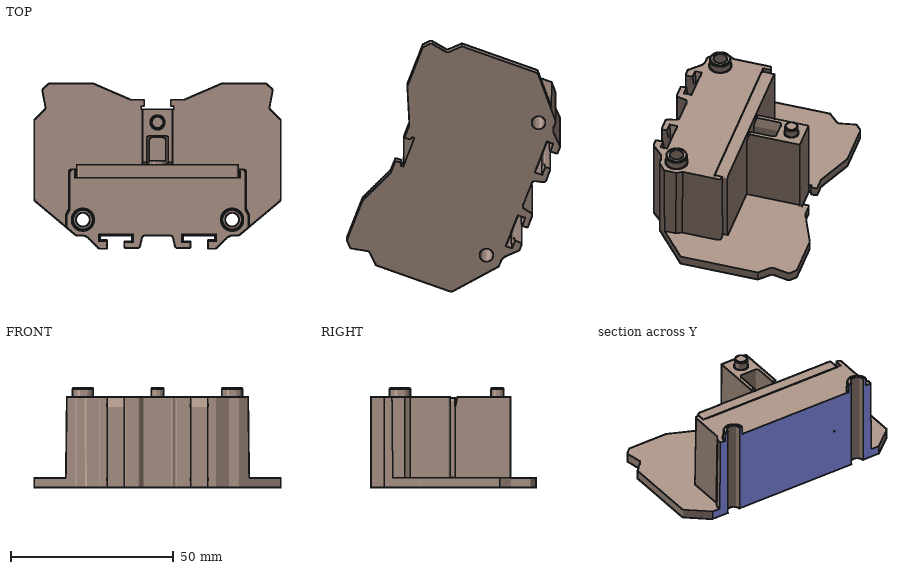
import math

import cadquery as cq

plate_thickness = 3.0
block_top = 28.0
pin_top = 30.8
plate_half_width = 38.0
plate_depth = 51.0

web_front = 4.1
outer_hook_front = 0.0
inner_hook_front = 0.2

slot_head_inner = 7.95
slot_head_outer = 17.65
slot_head_rear = 4.0
slot_gap_inner = 10.25
slot_gap_outer = 15.5
inner_lip = 2.4
outer_lip = 2.75
slot_flare = 0.5
lip_flare = 0.4
upper_flare_height = 3.1
lower_flare_height = plate_thickness

notch_floor = 43.1
notch_half_width = 4.05
undercut_half_width = 4.95
undercut_rear = 43.95
notch_shoulder = 46.0

bay_floor_x = 4.6
bay_mouth_x = 5.5
bay_round = 1.0
hook_round = 0.5
lip_round = 0.3
hook_outer_x = 18.0
hook_heel_round = 0.8
hook_root_x = 22.1
hook_root_round = 2.9
web_outer_x = 25.1
wing_front = 14.9
wing_rear = 39.8
wing_round = 1.0
waist_x = 34.5
waist_y = 43.3
waist_round = 0.7
ear_x = 35.6
ear_y = 49.1
ear_round = 0.75
ear_outer_x = 33.5
ear_inner_x = 19.75
shoulder_x = 8.2
edge_round = 0.5
notch_round = 0.4

side_draft = 0.4
bump_draft = 0.3
block_half_width = 27.4
bump_half_width = 28.3
bump_start = 12.2
bump_end = 10.4
block_rear = 24.5
block_corner_radius = 0.9
wall_overrun = 1.0

recess_front = 22.0
recess_half_width = 25.55
recess_draft = 0.5
strip_half_width = 24.95
strip_rear = 26.0
strip_top = 27.7
strip_radius = 1.0

arm_half_width = 4.75
arm_draft = 0.2
arm_end_chamfer = 0.65
pocket_radius = 0.9
pocket_floor_half_width = 2.5
pocket_floor_rear = 34.35
pocket_throat_half_width = 2.75
pocket_mouth_half_width = 3.35
pocket_mouth_rear = 34.9
stud_radius = 2.6
stud_length = 1.2
stud_edge = 0.3

pin_y = 39.0
pin_radius = 2.0
bush_x = 23.0
bush_y = 9.0
bush_radius = 3.25
bush_bore_radius = 2.1
rim_height = 0.5
rim_width = 0.25
clearance = 0.25
clearance_depth = 0.1


def rounded_outline(corners, plane_z=0.0):
    """Closed XY outline from (x, y, radius) corners; radius 0 keeps the corner sharp."""
    stretches = []
    count = len(corners)
    for i, (x, y, radius) in enumerate(corners):
        corner = cq.Vector(x, y)
        if radius == 0:
            stretches.append((corner,))
            continue
        before = (cq.Vector(*corners[i - 1][:2]) - corner).normalized()
        after = (cq.Vector(*corners[(i + 1) % count][:2]) - corner).normalized()
        half_angle = before.getAngle(after) / 2
        tangent_length = radius / math.tan(half_angle)
        arc_distance = radius / math.sin(half_angle) - radius
        bisector = (before + after).normalized()
        stretches.append((
            corner + before * tangent_length,
            corner + bisector * arc_distance,
            corner + after * tangent_length,
        ))
    outline = cq.Workplane("XY", origin=(0, 0, plane_z)).moveTo(*stretches[0][-1].toTuple()[:2])
    for stretch in stretches[1:] + stretches[:1]:
        outline = outline.lineTo(*stretch[0].toTuple()[:2])
        if len(stretch) > 1:
            outline = outline.threePointArc(stretch[1].toTuple()[:2], stretch[2].toTuple()[:2])
    return outline.close()


def mirrored(half_corners):
    """Complete a right-hand half outline with its reflection in X = 0."""
    return half_corners + [(-x, y, r) for x, y, r in reversed(half_corners)]


def tapered_prism(lower, upper, z_lower, z_upper):
    """Solid with straight sides between two XY polygons of equal point count."""
    return (
        cq.Workplane("XY", origin=(0, 0, z_lower))
        .polyline(lower)
        .close()
        .workplane(offset=z_upper - z_lower)
        .polyline(upper)
        .close()
        .loft(ruled=True, combine=True)
    )


def plate_outline():
    """Corners of the whole plate, mirrored from its right half (front face round to rear notch)."""
    return mirrored([
        (bay_floor_x, web_front, bay_round),
        (bay_mouth_x, inner_hook_front, bay_round),
        (slot_gap_inner, inner_hook_front, hook_round),
        (slot_gap_inner, inner_lip, lip_round),
        (slot_head_inner, inner_lip, 0),
        (slot_head_inner, slot_head_rear, 0),
        (slot_head_outer, slot_head_rear, 0),
        (slot_head_outer, outer_lip, 0),
        (slot_gap_outer, outer_lip, lip_round),
        (slot_gap_outer, outer_hook_front, hook_round),
        (hook_outer_x, outer_hook_front, hook_heel_round),
        (hook_root_x, web_front, hook_root_round),
        (web_outer_x, web_front, wing_round),
        (plate_half_width, wing_front, wing_round),
        (plate_half_width, wing_rear, 0),
        (waist_x, waist_y, waist_round),
        (ear_x, ear_y, ear_round),
        (ear_outer_x, plate_depth, edge_round),
        (ear_inner_x, plate_depth, edge_round),
        (shoulder_x, notch_shoulder, edge_round),
        (notch_half_width, notch_shoulder, notch_round),
        (notch_half_width, undercut_rear, notch_round),
        (undercut_half_width, undercut_rear, 0),
        (undercut_half_width, notch_floor, 0),
    ])


def block_envelope(half_width, bump):
    """Plan of the block's side and rear walls, open well past its front face."""
    half = [
        (bump, -wall_overrun),
        (bump, bump_end),
        (half_width, bump_start),
        (half_width, block_rear),
    ]
    return half + [(-x, y) for x, y in reversed(half)]


def make_block():
    envelope = tapered_prism(
        block_envelope(block_half_width, bump_half_width),
        block_envelope(block_half_width - side_draft, bump_half_width - bump_draft),
        plate_thickness,
        block_top,
    )
    envelope = envelope.faces(">Y").edges("not #Z").fillet(block_corner_radius)
    block = rounded_outline(plate_outline()).extrude(block_top).intersect(envelope)
    return block.cut(make_recess())


def make_recess():
    bottom_half_width = recess_half_width - recess_draft
    past_rear = block_rear + wall_overrun

    def plan(half_width):
        return [
            (-half_width, recess_front),
            (half_width, recess_front),
            (half_width, past_rear),
            (-half_width, past_rear),
        ]

    return tapered_prism(plan(bottom_half_width), plan(recess_half_width), plate_thickness, block_top)


def make_strip():
    height = strip_top - plate_thickness
    depth = strip_rear - recess_front
    return (
        cq.Workplane("XY")
        .box(2 * strip_half_width, depth, height, centered=(True, False, False))
        .translate((0, recess_front, plate_thickness))
        .edges("|Y")
        .fillet(strip_radius)
    )


def make_arm():
    def plan(half_width):
        return [
            (-half_width, strip_rear),
            (half_width, strip_rear),
            (half_width, notch_floor),
            (-half_width, notch_floor),
        ]

    arm = tapered_prism(
        plan(arm_half_width),
        plan(arm_half_width - arm_draft),
        plate_thickness,
        block_top,
    )
    end_chamfer = (
        cq.Workplane("YZ", origin=(-arm_half_width, 0, 0))
        .moveTo(strip_rear, block_top - upper_flare_height)
        .lineTo(strip_rear + arm_end_chamfer, block_top)
        .lineTo(strip_rear, block_top)
        .close()
        .extrude(2 * arm_half_width)
    )
    return arm.cut(make_pocket()).cut(end_chamfer)


def pocket_wire(half_width, rear, plane_z):
    return rounded_outline([
        (-half_width, strip_rear, 0),
        (half_width, strip_rear, 0),
        (half_width, rear, pocket_radius),
        (-half_width, rear, pocket_radius),
    ], plane_z).val()


def make_pocket():
    """Pocket open towards the strip: one sloping rear wall, and sides flared above a throat."""
    floor = pocket_wire(pocket_floor_half_width, pocket_floor_rear, plate_thickness)
    throat_z = block_top - upper_flare_height
    rear_slope = (pocket_mouth_rear - pocket_floor_rear) / (block_top - plate_thickness)
    throat_rear = pocket_mouth_rear - rear_slope * upper_flare_height
    throat = pocket_wire(pocket_throat_half_width, throat_rear, throat_z)
    mouth = pocket_wire(pocket_mouth_half_width, pocket_mouth_rear, block_top)
    return cq.Workplane(cq.Solid.makeLoft([floor, throat, mouth], True))


def make_stud():
    """Short round stud on the rear of the strip, inside the arm's pocket."""
    mid_height = (plate_thickness + strip_top) / 2
    return (
        cq.Workplane("XZ", origin=(0, strip_rear, mid_height))
        .circle(stud_radius)
        .extrude(-stud_length)
        .faces(">Y")
        .edges()
        .fillet(stud_edge)
    )


def slot_head(side_flare, front_flare):
    """Plan of the right-hand slot head, widened at its sides and rear and over its lips."""
    middle = (slot_gap_inner + slot_gap_outer) / 2
    inner = slot_head_inner - side_flare
    outer = slot_head_outer + side_flare
    rear = slot_head_rear + side_flare
    return [
        (inner, inner_lip - front_flare),
        (middle, inner_lip - front_flare),
        (middle, outer_lip - front_flare),
        (outer, outer_lip - front_flare),
        (outer, rear),
        (inner, rear),
    ]


def cut_slot_flares(body):
    plain = slot_head(0, 0)
    flared = slot_head(slot_flare, lip_flare)
    flares = [
        tapered_prism(flared, plain, 0, lower_flare_height),
        tapered_prism(plain, flared, block_top - upper_flare_height, block_top),
    ]
    for flare in flares:
        body = body.cut(flare).cut(flare.mirror("YZ"))
    return body


def add_post(body, x, y, radius):
    """Round post with a steep chamfered rim, standing in a shallow clearance groove."""
    base = block_top - clearance_depth
    groove = cq.Workplane("XY", origin=(x, y, base)).circle(radius + clearance).extrude(clearance_depth)
    post = (
        cq.Workplane("XY", origin=(x, y, base))
        .circle(radius)
        .extrude(pin_top - base)
        .faces(">Z")
        .edges()
        .chamfer(rim_height, rim_width)
    )
    return body.cut(groove).union(post)


def add_bushing(body, x, y):
    bore = cq.Workplane("XY", origin=(x, y, 0)).circle(bush_bore_radius).extrude(pin_top)
    return add_post(body, x, y, bush_radius).cut(bore)


plate = rounded_outline(plate_outline()).extrude(plate_thickness)
result = plate.union(make_block()).union(make_strip()).union(make_arm()).union(make_stud())
result = cut_slot_flares(result)
result = add_post(result, 0, pin_y, pin_radius)
for side in (-1, 1):
    result = add_bushing(result, side * bush_x, bush_y)